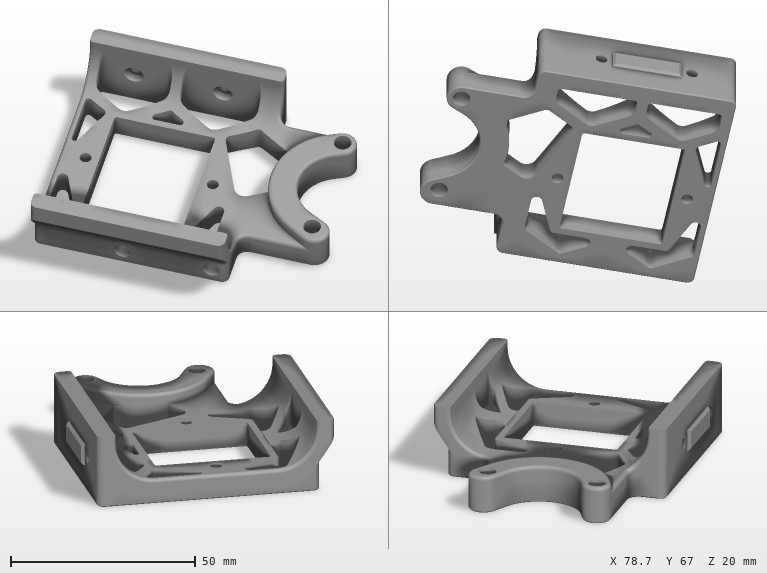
import cadquery as cq
import math

channel_length = 54.6
height = 20.0
floor_z = 6.85
back_y = 34.41
back_inner_y = 29.4
front_inner_y = -26.5
front_upper_y = -31.5
front_lower_y = -27.45
slant_bottom_z = 8.8
slant_top_z = 14.55
trough_radius = 11.0
corner_radius = 2.0
edge_radius = 1.0
bottom_chamfer = 0.3

arm_center = (77.15, 5.4)
arm_inner_radius = 11.6
arm_outer_radius = 19.5
arm_top_z = 10.3
back_lobe = (73.6, 20.85)
back_lobe_radius = 3.9
front_lobe = (74.5, -10.9)
front_lobe_radius = 4.2
arm_hole_x = 73.6
arm_hole_spacing = 31.0
arm_hole_diameter = 4.8
tab_corner_radius = 3.0
tab_back_y = back_lobe[1] + back_lobe_radius
tab_front_y = front_lobe[1] - front_lobe_radius

mid_x = 25.0
window_x = 28.3
window_y = 32.25
window_corner_radius = 0.6
floor_hole_diameter = 3.2
floor_hole_spacing = 35.8
lattice_slope = math.tan(math.radians(30))
side_slope = 2.29
cell_pitch = 25.0
rib_half_width = 1.5
edge_rib = 1.6
back_cell_left_x = 3.15
back_cell_right_x = 48.45
back_cell_apex_y = 18.4
back_notch_apex_y = 22.0
back_notch_base_y = 18.0
side_opening_tip_y = 1.4
side_opening_left_y = 21.15
arm_opening_right_x = 59.85
arm_opening_tip = (50.25, -3.1)
front_cell_top_y = -18.0
front_cell_apex_y = -24.7
front_pocket_apex_y = -21.1
front_pocket_floor_z = 8.0
small_round = 0.95
medium_round = 1.5
large_round = 3.0

wall_hole_diameter = 4.65
wall_hole_depth = 7.5
wall_hole_z = 4.5
back_hole_diameter = 3.2
back_bore_diameter = 5.5
back_bore_depth = 2.35
back_hole_z = 9.9
pad_length = 18.9
pad_bottom_z = 6.85
pad_top_z = 12.9
pad_thickness = 1.1
pad_chamfer = 0.6


def polar(center, radius, angle):
    return (center[0] + radius * math.cos(angle), center[1] + radius * math.sin(angle))


def tangent_points(arc_radius, lobe, lobe_radius, turn):
    """Ends of the line touching an arm arc and a lobe; a negative lobe radius makes the line cross over."""
    dx = lobe[0] - arm_center[0]
    dy = lobe[1] - arm_center[1]
    spread = math.acos((arc_radius - lobe_radius) / math.hypot(dx, dy))
    angle = math.atan2(dy, dx) + turn * spread
    return polar(arm_center, arc_radius, angle), polar(lobe, lobe_radius, angle)


back_inner_arc, back_inner_lobe = tangent_points(arm_inner_radius, back_lobe, -back_lobe_radius, 1)
front_inner_arc, front_inner_lobe = tangent_points(arm_inner_radius, front_lobe, -front_lobe_radius, -1)
back_outer_arc, back_outer_lobe = tangent_points(arm_outer_radius, back_lobe, back_lobe_radius, 1)
front_outer_arc, front_outer_lobe = tangent_points(arm_outer_radius, front_lobe, front_lobe_radius, -1)
back_lobe_tip = (back_lobe[0] + back_lobe_radius, back_lobe[1])
front_lobe_tip = (front_lobe[0] + front_lobe_radius, front_lobe[1])
arm_inner_mid = (arm_center[0] - arm_inner_radius, arm_center[1])
arm_middle = (arm_center[0] - (arm_inner_radius + arm_outer_radius) / 2, arm_center[1])
arm_outer_mid = (arm_center[0] - arm_outer_radius, arm_center[1])


def prism(points, bottom, top):
    return cq.Workplane("XY").workplane(offset=bottom).polyline(points).close().extrude(top - bottom)


def rounded_prism(corners, bottom=-0.8, top=height + 0.8):
    """Prism whose corners, given as (x, y, radius), are rounded."""
    body = prism([corner[:2] for corner in corners], bottom, top)
    middle = (bottom + top) / 2
    for x, y, radius in corners:
        if radius > 0:
            edge = cq.selectors.NearestToPointSelector((x, y, middle))
            body = body.edges("|Z").edges(edge).fillet(radius)
    return body


def channel_block(front_y):
    return (
        cq.Workplane("XY")
        .box(channel_length, back_y - front_y, height, centered=False)
        .translate((0, front_y, 0))
        .edges("|Z")
        .fillet(corner_radius)
    )


def tab_block():
    """Plate between the channel and the middle of the arm."""
    inside_x = channel_length - 2 * corner_radius
    root_x = channel_length + tab_corner_radius
    blend = tab_corner_radius * math.sqrt(0.5)
    return (
        cq.Workplane("XY")
        .moveTo(inside_x, tab_front_y - tab_corner_radius)
        .lineTo(channel_length, tab_front_y - tab_corner_radius)
        .threePointArc(
            (root_x - blend, tab_front_y - tab_corner_radius + blend),
            (root_x, tab_front_y),
        )
        .lineTo(front_lobe[0], tab_front_y)
        .lineTo(*front_lobe)
        .threePointArc(arm_middle, back_lobe)
        .lineTo(back_lobe[0], tab_back_y)
        .lineTo(root_x, tab_back_y)
        .threePointArc(
            (root_x - blend, tab_back_y + tab_corner_radius - blend),
            (channel_length, tab_back_y + tab_corner_radius),
        )
        .lineTo(inside_x, tab_back_y + tab_corner_radius)
        .close()
        .extrude(height)
    )


def front_overhang():
    """Upper part of the front wall, which leans out over the lower part."""
    slant = (slant_top_z - slant_bottom_z) / (front_lower_y - front_upper_y)
    inner_y = front_lower_y + corner_radius
    space = (
        cq.Workplane("YZ")
        .moveTo(front_upper_y, height)
        .lineTo(front_upper_y, slant_top_z)
        .lineTo(inner_y, slant_bottom_z - corner_radius * slant)
        .lineTo(inner_y, height)
        .close()
        .extrude(channel_length)
    )
    return channel_block(front_upper_y).intersect(space)


def trough():
    half_y = (back_inner_y - front_inner_y) / 2
    return (
        cq.Workplane("XY")
        .box(2 * arm_center[0], 2 * half_y, 2 * height, centered=(True, True, False))
        .translate((channel_length / 2, front_inner_y + half_y, floor_z))
        .edges("|X and <Z")
        .fillet(trough_radius)
    )


def make_base():
    base = channel_block(front_lower_y).union(tab_block())
    base = base.faces("<Z").edges().chamfer(bottom_chamfer)
    return base.union(front_overhang()).cut(trough())


def near(x, y, z):
    return cq.selectors.NearestToPointSelector((x, y, z))


def round_rims(base):
    """Round the edges of the trough at the channel's ends and along the tab."""
    tab_middle_x = (channel_length + back_lobe[0]) / 2
    back_rim_z = floor_z + trough_radius / 5
    for rim in (
        near(0, 0, floor_z),
        near(tab_middle_x, tab_front_y, floor_z),
        near(tab_middle_x, tab_back_y, back_rim_z),
    ):
        base = base.edges(rim).fillet(edge_radius)
    return base


def arm():
    """Raised fork with rounded top edges."""
    return (
        cq.Workplane("XY")
        .moveTo(*back_inner_arc)
        .threePointArc(arm_inner_mid, front_inner_arc)
        .lineTo(*front_inner_lobe)
        .threePointArc(front_lobe_tip, front_outer_lobe)
        .lineTo(*front_outer_arc)
        .threePointArc(arm_outer_mid, back_outer_arc)
        .lineTo(*back_outer_lobe)
        .threePointArc(back_lobe_tip, back_inner_lobe)
        .close()
        .extrude(arm_top_z)
        .faces("<Z")
        .edges()
        .chamfer(bottom_chamfer)
        .faces(">Z")
        .edges()
        .fillet(edge_radius)
    )


def mirrored(opening):
    """The opening together with its mirror image across the middle of the channel."""
    return opening.union(opening.mirror("YZ", (mid_x, 0, 0)))


def triangle(apex_y, base_y, bottom):
    half_base = (apex_y - base_y) / lattice_slope
    return rounded_prism(
        [
            (mid_x, apex_y, small_round),
            (mid_x - half_base, base_y, small_round),
            (mid_x + half_base, base_y, small_round),
        ],
        bottom,
    )


def back_cell(left_x, right_x, apex_x):
    left_y = back_cell_apex_y + (apex_x - left_x) * lattice_slope
    right_y = back_cell_apex_y + (right_x - apex_x) * lattice_slope
    return rounded_prism(
        [
            (left_x, back_inner_y, small_round),
            (left_x, left_y, large_round),
            (apex_x, back_cell_apex_y, large_round),
            (right_x, right_y, large_round),
            (right_x, back_inner_y, small_round),
        ],
        top=floor_z + trough_radius,
    )


def side_corner():
    """Where the sloping side of a back opening meets its 30 degree side."""
    x = edge_rib + (side_opening_left_y - side_opening_tip_y) / (side_slope + lattice_slope)
    return (x, side_opening_left_y - (x - edge_rib) * lattice_slope)


def side_opening():
    return rounded_prism(
        [
            (edge_rib, side_opening_tip_y, small_round),
            (edge_rib, side_opening_left_y, small_round),
            (*side_corner(), medium_round),
        ]
    )


def arm_opening():
    """Opening beside the arm, whose outer arc bounds it on the right."""
    apex_x = mid_x + cell_pitch
    corner_x, corner_y = side_corner()
    tip_x, tip_y = arm_opening_tip
    return rounded_prism(
        [
            (2 * mid_x - corner_x, corner_y, medium_round),
            (apex_x, back_notch_apex_y, medium_round),
            (arm_opening_right_x, back_notch_apex_y - (arm_opening_right_x - apex_x) * lattice_slope, 0),
            (arm_opening_right_x, tip_y + (arm_opening_right_x - tip_x) * lattice_slope, 0),
            (tip_x, tip_y, large_round),
        ]
    )


def front_cell():
    apex_x = mid_x - cell_pitch / 2
    inner_x = edge_rib + (-side_opening_tip_y - front_cell_top_y) / side_slope
    return rounded_prism(
        [
            (edge_rib, -side_opening_tip_y, medium_round),
            (inner_x, front_cell_top_y, medium_round),
            (apex_x + (front_cell_top_y - front_cell_apex_y) / lattice_slope, front_cell_top_y, medium_round),
            (apex_x, front_cell_apex_y, medium_round),
            (edge_rib, front_cell_apex_y + (apex_x - edge_rib) * lattice_slope, medium_round),
        ]
    )


def window():
    return (
        cq.Workplane("XY")
        .rect(window_x, window_y)
        .extrude(height)
        .edges("|Z")
        .fillet(window_corner_radius)
        .translate((mid_x, 0, 0))
    )


def window_frame_relief():
    """Keeps the strip between the window and the front openings level with the floor."""
    return (
        cq.Workplane("XY")
        .box(floor_hole_spacing, -front_cell_top_y, height, centered=(True, False, False))
        .translate((mid_x, front_cell_top_y, floor_z))
    )


def floor_openings():
    apex_x = mid_x - cell_pitch / 2
    openings = window()
    for opening in (
        back_cell(back_cell_left_x, mid_x - rib_half_width, apex_x),
        back_cell(mid_x + rib_half_width, back_cell_right_x, apex_x + cell_pitch),
        triangle(back_notch_apex_y, back_notch_base_y, -0.8),
        side_opening(),
        arm_opening(),
        mirrored(front_cell()),
        window_frame_relief(),
        triangle(front_pocket_apex_y, front_inner_y, front_pocket_floor_z),
    ):
        openings = openings.union(opening)
    return openings


def upright_holes():
    floor_holes = (
        cq.Workplane("XY")
        .center(mid_x, 0)
        .rarray(floor_hole_spacing, 0.8, 2, 1)
        .circle(floor_hole_diameter / 2)
        .extrude(height)
    )
    arm_holes = (
        cq.Workplane("XY")
        .center(arm_hole_x, arm_center[1])
        .rarray(0.8, arm_hole_spacing, 1, 2)
        .circle(arm_hole_diameter / 2)
        .extrude(height)
    )
    return floor_holes.union(arm_holes)


def hole_along_y(x, start_y, z, diameter, depth):
    """Cylinder running from start_y towards the back."""
    axis = cq.Vector(0, 1, 0)
    return cq.Workplane(cq.Solid.makeCylinder(diameter / 2, depth, cq.Vector(x, start_y, z), axis))


def wall_holes():
    holes = cq.Workplane("XY")
    for x in (mid_x, mid_x + cell_pitch):
        holes = holes.union(hole_along_y(x, front_lower_y, wall_hole_z, wall_hole_diameter, wall_hole_depth))
    wall_thickness = back_y - back_inner_y
    for x in (mid_x - cell_pitch / 2, mid_x + cell_pitch / 2):
        holes = holes.union(hole_along_y(x, back_inner_y, back_hole_z, back_hole_diameter, wall_thickness))
        holes = holes.union(hole_along_y(x, back_inner_y, back_hole_z, back_bore_diameter, back_bore_depth))
    return holes


def back_pad():
    pad_width = pad_top_z - pad_bottom_z
    return (
        cq.Workplane("XY")
        .box(pad_length, pad_thickness, pad_width, centered=(True, False, False))
        .faces(">Y")
        .edges()
        .chamfer(pad_chamfer)
        .translate((mid_x, back_y, pad_bottom_z))
    )


result = round_rims(make_base()).cut(floor_openings()).union(arm()).union(back_pad())
result = result.cut(upright_holes()).cut(wall_holes())